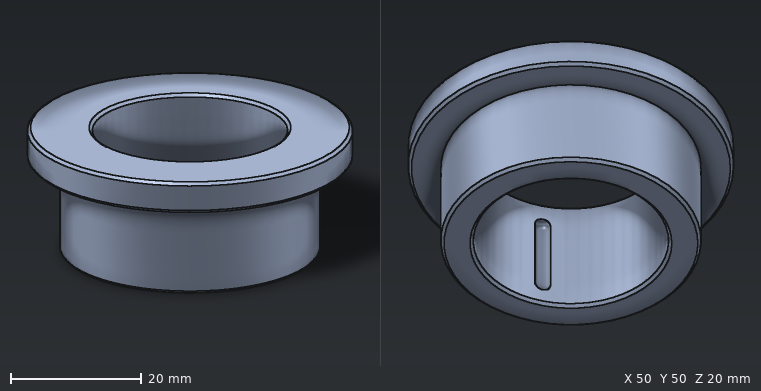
import cadquery as cq

flange_diameter = 50.0
flange_thickness = 5.0
sleeve_diameter = 40.0
bore_diameter = 30.0
height = 20.0
chamfer = 0.5

groove_radius = 1.25
groove_bottom_z = 4.0
groove_straight_length = 11.65


def make_body():
    sleeve = cq.Workplane("XY").circle(sleeve_diameter / 2).extrude(height)
    sleeve = sleeve.faces("<Z").edges().chamfer(chamfer)
    flange = (
        cq.Workplane("XY", origin=(0, 0, height - flange_thickness))
        .circle(flange_diameter / 2)
        .extrude(flange_thickness)
        .edges()
        .chamfer(chamfer)
    )
    return sleeve.union(flange)


def make_bore():
    bore = cq.Workplane("XY").circle(bore_diameter / 2).extrude(height)
    mouth = (
        cq.Workplane("XY")
        .circle(bore_diameter / 2 + chamfer)
        .extrude(chamfer, taper=45)
    )
    opposite_mouth = mouth.mirror("XY").translate((0, 0, height))
    return bore.union(mouth).union(opposite_mouth)


def make_groove():
    top_z = groove_bottom_z + groove_straight_length
    wall_x = bore_diameter / 2
    groove = (
        cq.Workplane("XY", origin=(wall_x, 0, groove_bottom_z))
        .circle(groove_radius)
        .extrude(groove_straight_length)
    )
    for end_z in (groove_bottom_z, top_z):
        ball = cq.Workplane("XY", origin=(wall_x, 0, end_z)).sphere(groove_radius)
        groove = groove.union(ball)
    return groove


result = make_body().cut(make_bore()).cut(make_groove())